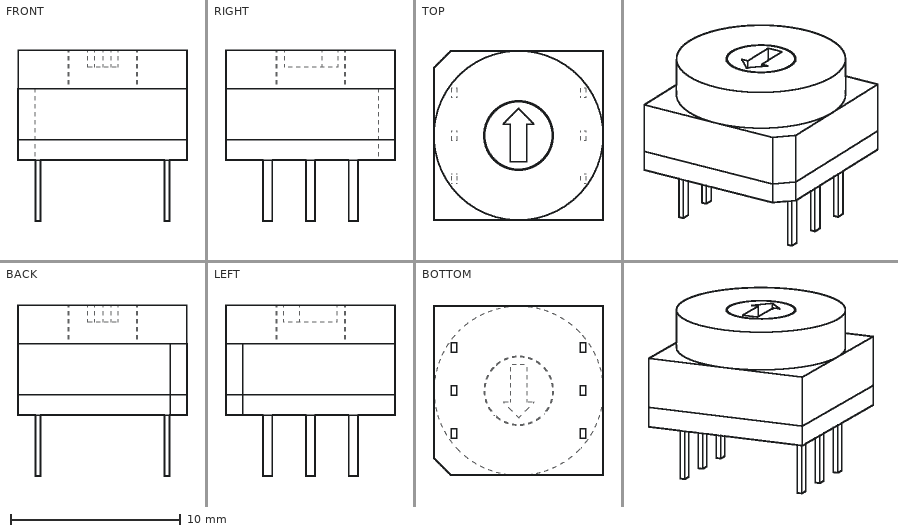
import cadquery as cq

body_side = 10.0
corner_chamfer = 1.0
total_height = 10.1
pin_length = 3.6
base_height = 1.2
housing_height = 3.0

base_bottom = pin_length
housing_bottom = base_bottom + base_height
collar_bottom = housing_bottom + housing_height
collar_height = total_height - collar_bottom

collar_diameter = body_side
rotor_diameter = 4.0
rotor_clearance = 0.05
bore_diameter = rotor_diameter + 2 * rotor_clearance

arrow_tip_y = 1.6
arrow_head_y = 0.68
arrow_tail_y = -1.55
arrow_head_half_width = 0.91
arrow_shaft_half_width = 0.48
arrow_depth = 1.0

pin_thickness = 0.3
pin_width = 0.56
pin_pitch = 2.54
pin_row_spacing = 7.62
pins_per_row = 3


def make_square_block(bottom, height):
    """Square block with the (-X, +Y) vertical edge chamfered."""
    half = body_side / 2
    return (
        cq.Workplane("XY", origin=(0, 0, bottom))
        .moveTo(-half, -half)
        .lineTo(half, -half)
        .lineTo(half, half)
        .lineTo(-half + corner_chamfer, half)
        .lineTo(-half, half - corner_chamfer)
        .close()
        .extrude(height)
    )


def make_base():
    return make_square_block(base_bottom, base_height)


def make_housing():
    return make_square_block(housing_bottom, housing_height)


def make_collar():
    """Ring standing on the housing, bored through for the rotor."""
    return (
        cq.Workplane("XY", origin=(0, 0, collar_bottom))
        .circle(collar_diameter / 2)
        .circle(bore_diameter / 2)
        .extrude(collar_height)
    )


def make_rotor():
    """Disc flush with the collar, with the arrow sunk into its top face."""
    disc = (
        cq.Workplane("XY", origin=(0, 0, collar_bottom))
        .circle(rotor_diameter / 2)
        .extrude(collar_height)
    )
    arrow = (
        cq.Workplane("XY", origin=(0, 0, total_height))
        .polyline([
            (0, arrow_tip_y),
            (-arrow_head_half_width, arrow_head_y),
            (-arrow_shaft_half_width, arrow_head_y),
            (-arrow_shaft_half_width, arrow_tail_y),
            (arrow_shaft_half_width, arrow_tail_y),
            (arrow_shaft_half_width, arrow_head_y),
            (arrow_head_half_width, arrow_head_y),
        ])
        .close()
        .extrude(-arrow_depth)
    )
    return disc.cut(arrow)


def make_pin(x, y):
    """Flat pin reaching from Z = 0 up to the underside of the base."""
    return (
        cq.Workplane("XY")
        .center(x, y)
        .rect(pin_thickness, pin_width)
        .extrude(pin_length)
    )


base = make_base()
housing = make_housing()
collar = make_collar()
rotor = make_rotor()

pins = []
for row_side in (-1, 1):
    for index in range(pins_per_row):
        pin_x = row_side * pin_row_spacing / 2
        pin_y = (index - (pins_per_row - 1) / 2) * pin_pitch
        pins.append(make_pin(pin_x, pin_y))

result = cq.Compound.makeCompound([
    base.val(),
    housing.val(),
    collar.val(),
    rotor.val(),
    *[pin.val() for pin in pins],
])